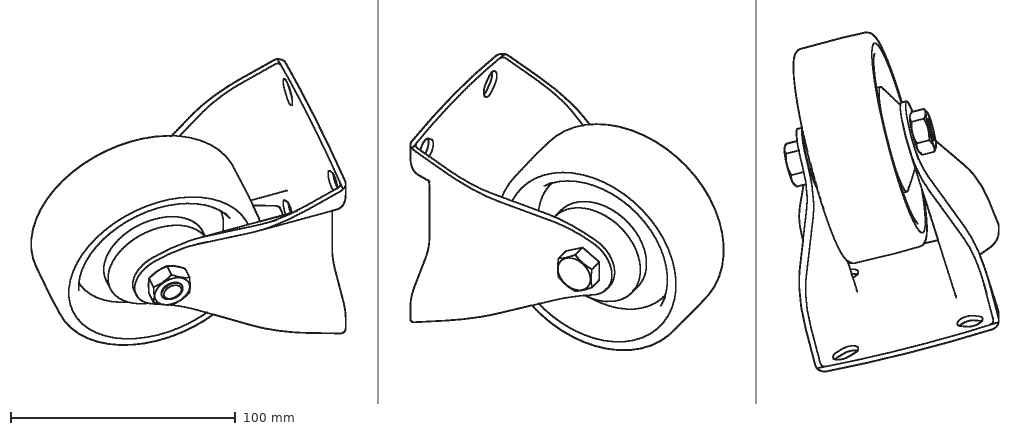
import cadquery as cq
import math


overall_length = 129.4
plate_width = 84.8
plate_height = 99.8
plate_side_height = 94.2
sheet = 2.5
bend_radius = 4.3
cheek_outer_x = 25.2
flat_half_height = 14.1
flare_radius = 9.7
corner_half_height = 40.4
corner_radius = 13.6
cheek_end_radius = 15.0
cheek_taper = 21.8
slot_x = 28.7
slot_z = 38.8
slot_diameter = 9.0
slot_length = 12.3
slot_tilt = 36.0

wheel_radius = 49.4
tread_edge_radius = 49.2
wheel_half_width = 17.7
crown_half_width = 12.7
tyre_edge_fillet = 3.1
tyre_inner_radius = 43.5
recess_mouth_radius = 38.4
recess_floor_radius = 35.5
recess_lip_fillet = 2.8
web_half_thickness = 2.6
hub_radius = 22.5
hub_fillet = 2.1
cap_radius = 24.1
cap_inner_x = 10.0
cap_outer_x = 15.5
cap_end_radius = 12.8

shank_radius = 5.0
hex_across_flats = 17.1
head_height = 7.5
bolt_tip_overhang = 0.5
tip_chamfer = 0.9
hex_chamfer_angle = 30.0
hex_face_radius = 8.3

axle_to_plate = overall_length - wheel_radius
plate_front_y = axle_to_plate - sheet
cheek_inner_x = cheek_outer_x - sheet


def flared_block(inset, back_y, back_radius):
    """Solid inside the bracket outline moved inward by inset, from the cheek ends to back_y.

    The rear edges along the two flared sides are rounded with back_radius.
    """
    half_width = plate_width / 2 - inset
    waist = cheek_outer_x - inset
    end_z = plate_height / 2
    outer_r = corner_radius - inset
    inner_r = flare_radius + inset

    corner_x = half_width - outer_r
    flare_x = waist + inner_r
    shift_x = flare_x - corner_x
    shift_z = corner_half_height - flat_half_height
    turn = math.asin((outer_r + inner_r) / math.hypot(shift_x, shift_z)) - math.atan2(shift_x, shift_z)

    def corner_point(angle):
        return corner_x + outer_r * math.cos(angle), corner_half_height - outer_r * math.sin(angle)

    def flare_point(angle):
        return flare_x - inner_r * math.cos(angle), flat_half_height + inner_r * math.sin(angle)

    block = (
        cq.Workplane("XZ")
        .moveTo(0, end_z)
        .lineTo(half_width, end_z)
        .lineTo(*corner_point(0))
        .threePointArc(corner_point(turn / 2), corner_point(turn))
        .lineTo(*flare_point(turn))
        .threePointArc(flare_point(turn / 2), flare_point(0))
        .lineTo(waist, 0)
        .mirrorX()
        .mirrorY()
        .extrude(back_y + cheek_end_radius)
        .translate((0, back_y, 0))
    )
    return block.faces(">Y").edges("not |X").fillet(back_radius)


def cheek_trim():
    """YZ shape that keeps the full plate and tapers the cheeks to a round end at the axle."""
    taper = math.radians(cheek_taper)
    tangent_y = cheek_end_radius * math.sin(taper)
    tangent_z = cheek_end_radius * math.cos(taper)
    root_z = tangent_z + (plate_front_y + tangent_y) * math.tan(taper)
    top_z = plate_height / 2
    return (
        cq.Workplane("YZ")
        .moveTo(axle_to_plate, -top_z)
        .lineTo(axle_to_plate, top_z)
        .lineTo(plate_front_y, top_z)
        .lineTo(plate_front_y, root_z)
        .lineTo(-tangent_y, tangent_z)
        .threePointArc((-cheek_end_radius, 0), (-tangent_y, -tangent_z))
        .lineTo(plate_front_y, -root_z)
        .lineTo(plate_front_y, -top_z)
        .close()
        .extrude(plate_width / 2, both=True)
    )


def plate_end_trim():
    """XZ shape whose bowed ends give the plate its curved top and bottom edges."""
    half_width = plate_width / 2
    side_z = plate_side_height / 2
    end_z = plate_height / 2
    return (
        cq.Workplane("XZ")
        .moveTo(-half_width, -side_z)
        .lineTo(-half_width, side_z)
        .threePointArc((0, end_z), (half_width, side_z))
        .lineTo(half_width, -side_z)
        .threePointArc((0, -end_z), (-half_width, -side_z))
        .close()
        .extrude(overall_length, both=True)
    )


def mounting_slots():
    """Four tilted slots through the plate."""
    quadrants = [(side_x, side_z) for side_x in (-1, 1) for side_z in (-1, 1)]
    slots = cq.Workplane("XZ")
    for side_x, side_z in quadrants:
        slot = (
            cq.Workplane("XZ")
            .center(side_x * slot_x, side_z * slot_z)
            .slot2D(slot_length, slot_diameter, side_x * side_z * slot_tilt)
            .extrude(-axle_to_plate)
        )
        slots = slots.add(slot)
    return slots.combine()


def make_bracket():
    """Folded sheet: a plate with four slots and two flared cheeks that carry the bolt."""
    hollow = flared_block(sheet, plate_front_y, bend_radius - sheet)
    axle_hole = cq.Workplane("YZ").circle(shank_radius).extrude(plate_width / 2, both=True)
    return (
        flared_block(0, axle_to_plate, bend_radius)
        .cut(hollow)
        .intersect(cheek_trim())
        .intersect(plate_end_trim())
        .cut(mounting_slots())
        .cut(axle_hole)
    )


def turned(profile):
    """Full turn of a profile about the axle axis."""
    return profile.revolve(360, (0, 0, 0), (1, 0, 0))


def circles_of_radius(body, radius):
    """Circular edges that have the given radius."""
    return body.edges("%CIRCLE").filter(lambda edge: math.isclose(edge.radius(), radius))


def make_tyre():
    """Ring around the core with a slightly crowned tread and rounded edges."""
    profile = (
        cq.Workplane("XY")
        .moveTo(-wheel_half_width, tyre_inner_radius)
        .lineTo(-wheel_half_width, tread_edge_radius)
        .lineTo(-crown_half_width, tread_edge_radius)
        .threePointArc((0, wheel_radius), (crown_half_width, tread_edge_radius))
        .lineTo(wheel_half_width, tread_edge_radius)
        .lineTo(wheel_half_width, tyre_inner_radius)
        .close()
    )
    tyre = turned(profile)
    return circles_of_radius(tyre.faces("<X or >X"), tread_edge_radius).fillet(tyre_edge_fillet)


def make_core():
    """Wheel core: rim, web, hub and conical hub caps, with a bore for the bolt."""
    half_profile = (
        cq.Workplane("XY")
        .moveTo(0, shank_radius)
        .lineTo(cheek_inner_x, shank_radius)
        .lineTo(cheek_inner_x, cap_end_radius)
        .lineTo(cap_outer_x, cap_radius)
        .lineTo(cap_inner_x, cap_radius)
        .lineTo(cap_inner_x, hub_radius)
        .lineTo(web_half_thickness, hub_radius)
        .lineTo(web_half_thickness, recess_floor_radius)
        .lineTo(wheel_half_width, recess_mouth_radius)
        .lineTo(wheel_half_width, tyre_inner_radius)
        .lineTo(0, tyre_inner_radius)
        .close()
    )
    half = turned(half_profile)

    half = circles_of_radius(half, recess_mouth_radius).fillet(recess_lip_fillet)
    half = circles_of_radius(half, hub_radius).edges("<X").fillet(hub_fillet)
    return half.union(half.mirror("YZ"))


def hexagon(start_x, chamfer_start):
    """Hexagon from start_x towards +X, chamfered at its far end, and at its start if chamfer_start."""
    corner_r = hex_across_flats / math.sqrt(3)
    slope = math.tan(math.radians(hex_chamfer_angle))
    chamfer_depth = (corner_r - hex_face_radius) * slope
    end_x = start_x + head_height
    prism = (
        cq.Workplane("YZ", origin=(start_x, 0, 0))
        .transformed(rotate=(0, 0, 90))
        .polygon(6, 2 * corner_r)
        .extrude(head_height)
    )
    envelope = cq.Workplane("XY").moveTo(start_x, 0)
    if chamfer_start:
        envelope = envelope.lineTo(start_x, hex_face_radius).lineTo(start_x + chamfer_depth, corner_r)
    else:
        envelope = envelope.lineTo(start_x, corner_r)
    envelope = (
        envelope
        .lineTo(end_x - chamfer_depth, corner_r)
        .lineTo(end_x, hex_face_radius)
        .lineTo(end_x, 0)
        .close()
    )
    return prism.intersect(turned(envelope))


def make_bolt():
    """Hexagon head against the -X cheek, shank through to just beyond the nut."""
    tip_x = cheek_outer_x + head_height + bolt_tip_overhang
    shank = (
        cq.Workplane("YZ", origin=(-cheek_outer_x, 0, 0))
        .circle(shank_radius)
        .extrude(tip_x + cheek_outer_x)
        .faces(">X")
        .chamfer(tip_chamfer)
    )
    return hexagon(cheek_outer_x, False).mirror("YZ").union(shank)


def make_nut():
    """Hexagon nut against the +X cheek."""
    bore = cq.Workplane("YZ").circle(shank_radius).extrude(plate_width)
    return hexagon(cheek_outer_x, True).cut(bore)


bracket = make_bracket()
tyre = make_tyre()
core = make_core()
bolt = make_bolt()
nut = make_nut()

result = cq.Compound.makeCompound([bracket.val(), tyre.val(), core.val(), bolt.val(), nut.val()])